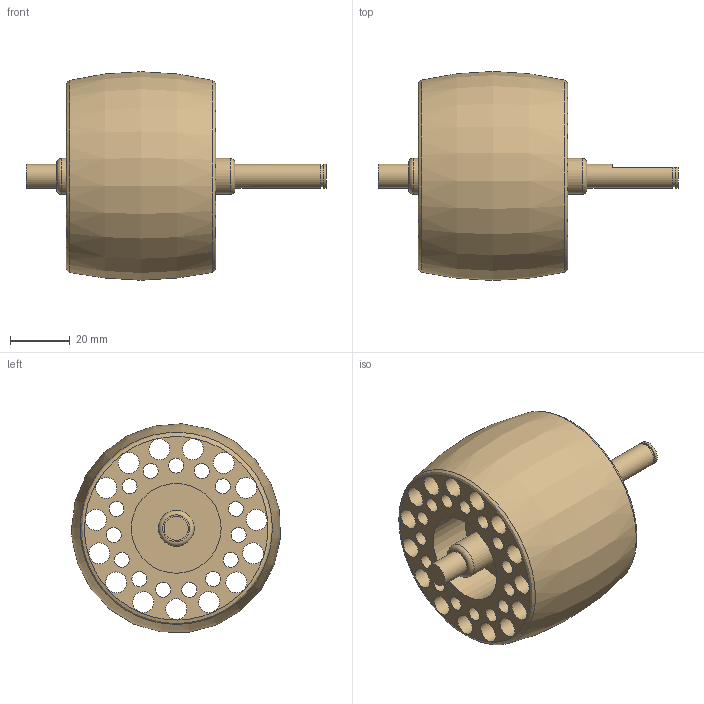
import cadquery as cq
import math

drum_width = 50.0
drum_radius = 35.0
crown_radius = 100.0
drum_edge_fillet = 1.5
half_width = drum_width / 2
crown_sag = crown_radius - math.sqrt(crown_radius**2 - half_width**2)
drum_edge_radius = drum_radius - crown_sag

recess_radius = 15.0
recess_depth = 15.0

holes_per_ring = 15
outer_ring_radius = 27.0
outer_hole_diameter = 7.0
outer_ring_start = -90.0
inner_ring_radius = 21.0
inner_hole_diameter = 5.0
inner_ring_start = 90.0

hub_radius = 6.0
hub_left = -28.2
hub_right = 31.4
hub_fillet = 1.5

shaft_radius = 4.0
shaft_length = 100.3
shaft_left = -38.45
shaft_right = shaft_left + shaft_length
flat_start = 40.0
flat_height = 3.0
groove_radius = 3.5
groove_width = 0.8
end_collar_width = 0.9
groove_start = shaft_right - end_collar_width - groove_width


def x_cylinder(radius, start, end):
    """Solid cylinder on the X axis between two X positions."""
    return cq.Workplane("YZ", origin=(start, 0, 0)).circle(radius).extrude(end - start)


def make_drum():
    """Barrel-shaped body with rounded rims."""
    drum = (
        cq.Workplane("XY")
        .moveTo(-half_width, 0)
        .lineTo(-half_width, drum_edge_radius)
        .threePointArc((0, drum_radius), (half_width, drum_edge_radius))
        .lineTo(half_width, 0)
        .close()
        .revolve(360, (0, 0, 0), (1, 0, 0))
    )
    return drum.faces("<X or >X").edges().fillet(drum_edge_fillet)


def cut_recesses(drum):
    """Cut the same round recess into both end faces."""
    floor = half_width - recess_depth
    drum = drum.cut(x_cylinder(recess_radius, -half_width, -floor))
    return drum.cut(x_cylinder(recess_radius, floor, half_width))


def hole_ring(ring_radius, hole_diameter, start_angle):
    """Cutters for one ring of holes, spanning the drum width."""
    return (
        cq.Workplane("YZ", origin=(-half_width, 0, 0))
        .polarArray(ring_radius, start_angle, 360, holes_per_ring)
        .circle(hole_diameter / 2)
        .extrude(drum_width)
    )


def make_hub():
    """Sleeve with rounded ends."""
    return x_cylinder(hub_radius, hub_left, hub_right).edges("%CIRCLE").fillet(hub_fillet)


def make_shaft():
    """Shaft with the +Y flat and the ring groove."""
    shaft = x_cylinder(shaft_radius, shaft_left, shaft_right)
    flat_cutter = cq.Workplane("XY").box(
        shaft_right - flat_start, shaft_radius, 2 * shaft_radius, centered=(False, False, True)
    )
    shaft = shaft.cut(flat_cutter.translate((flat_start, flat_height, 0)))
    groove_end = groove_start + groove_width
    groove_cutter = x_cylinder(drum_radius, groove_start, groove_end).cut(
        x_cylinder(groove_radius, groove_start, groove_end)
    )
    return shaft.cut(groove_cutter)


drum = cut_recesses(make_drum())
drum = drum.cut(hole_ring(outer_ring_radius, outer_hole_diameter, outer_ring_start))
drum = drum.cut(hole_ring(inner_ring_radius, inner_hole_diameter, inner_ring_start))
result = drum.union(make_hub()).union(make_shaft())